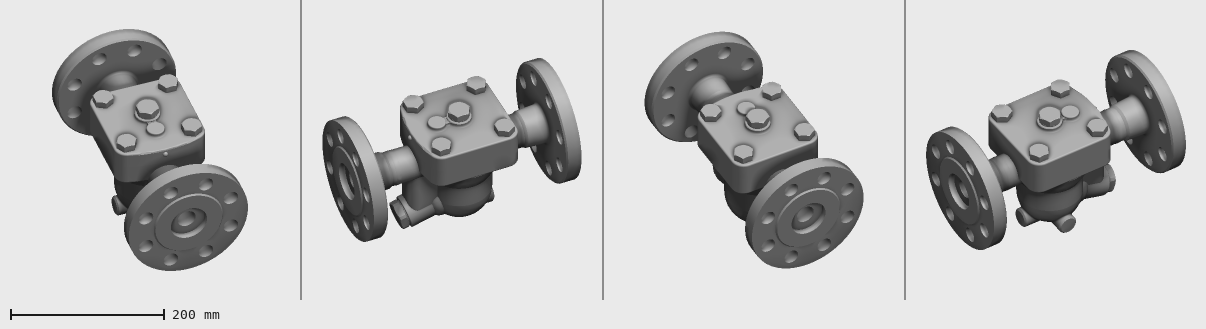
import cadquery as cq
import math


hex_chamfer_angle = 30.0
select_margin = 3.0

inlet_face_x = -140.0
outlet_face_x = 160.0
flange_dia = 165.0
raised_face_dia = 92.0
raised_face_base_dia = 95.7
raised_face_height = 2.0
flange_back = 23.0
flange_chamfer = 2.0
neck_fillet = 3.5
neck_root_dia = 53.0
neck_end_dia = 50.0
neck_end = 52.2
step_end = 56.0
pipe_dia = 46.0
weld_start = 61.2
weld_end = 69.0
weld_height = 0.5
bolt_circle_dia = 127.0
flange_hole_dia = 20.0
flange_hole_count = 8
socket_dia = 50.0
socket_depth = 9.0
bore_dia = 25.0

bolt_offset = 45.0
corner_radius = 17.5
half_width = bolt_offset + corner_radius
cover_bulge_x = 69.0
body_bulge_x = 68.0
block_bottom_z = 1.0
split_z = 29.5
cover_top_z = 51.3
cover_top_fillet = 2.5
block_bottom_fillet = 2.7
pin_radius = 3.5
pin_z = 43.2

bolt_flats = 24.0
bolt_head_height = 10.0

plug_boss_dia = 33.0
plug_boss_top_z = 57.3
plug_boss_chamfer = 1.0
plug_flats = 27.0
plug_top_dia = 26.0
plug_head_bottom_z = 58.8
plug_head_top_z = 68.7
side_boss_x = 31.5
side_boss_dia = 24.0
side_boss_top_z = 57.5
side_boss_fillet = 1.5
web_width = 12.0
web_corner_fillet = 1.5
web_top_z = 55.2
boss_foot_fillet = 2.7

bowl_radius = 43.5
bowl_center_z = -63.0
rim_radius = 61.8
rim_curve = 6.0
rim_top_z = block_bottom_z + block_bottom_fillet
cone_top_radius = 59.7
cone_top_z = -1.0
cone_mid_radius = 50.5
cone_mid_z = -19.8
cone_bottom_z = -32.5
relief_dia = 22.0

branch_tilt = 15.0
branch_dia = 44.0
branch_length = 81.0
flare_start = 34.5
flare_end = 46.0
branch_edge_fillet = 1.2
cap_flats = 36.0
cap_corner_dia = 39.3
cap_start = 82.0
cap_top_dia = 34.8
cap_end = 93.0
rib_half_width = 19.5
rib_end_x = 77.0
rib_corner_radius = 12.5
rib_bottom_z = -75.0

drain_dia = 26.0
drain_end = 45.5
drain_edge_chamfer = 2.0
drain_root_fillet = 1.5
drain_z = -93.0


def hex_head(flats, height, top_dia, corner_angle=0.0, both_ends=False):
    """Hexagonal head standing on Z = 0, its corners turned down by a cone."""
    tip_radius = flats / math.sqrt(3)
    top_radius = top_dia / 2
    drop = (tip_radius - top_radius) * math.tan(math.radians(hex_chamfer_angle))
    head = cq.Workplane("XY").polygon(6, 2 * tip_radius).extrude(height)
    head = head.rotate((0, 0, 0), (0, 0, 1), corner_angle)
    low_radius = top_radius if both_ends else tip_radius
    envelope = (
        cq.Workplane("XZ")
        .moveTo(0, 0)
        .lineTo(low_radius, 0)
        .lineTo(tip_radius, drop)
        .lineTo(tip_radius, height - drop)
        .lineTo(top_radius, height)
        .lineTo(0, height)
        .close()
        .revolve(360, (0, 0), (0, 1))
    )
    return head.intersect(envelope)


def pipe_end(length):
    """Flange and neck along +X, sealing face at X = 0, pipe running on to the given length."""
    pipe_radius = pipe_dia / 2
    neck_radius = neck_root_dia / 2
    flange_radius = flange_dia / 2
    solid = (
        cq.Workplane("XY")
        .moveTo(0, 0)
        .lineTo(0, raised_face_dia / 2)
        .lineTo(raised_face_height, raised_face_base_dia / 2)
        .lineTo(raised_face_height, flange_radius)
        .lineTo(flange_back - flange_chamfer, flange_radius)
        .lineTo(flange_back, flange_radius - flange_chamfer)
        .lineTo(flange_back, neck_radius + neck_fillet)
        .radiusArc((flange_back + neck_fillet, neck_radius), -neck_fillet)
        .lineTo(neck_end, neck_end_dia / 2)
        .lineTo(step_end, pipe_radius)
        .lineTo(weld_start, pipe_radius)
        .threePointArc(
            ((weld_start + weld_end) / 2, pipe_radius + weld_height), (weld_end, pipe_radius)
        )
        .lineTo(length, pipe_radius)
        .lineTo(length, 0)
        .close()
        .revolve(360, (0, 0), (1, 0))
    )
    holes = (
        cq.Workplane("YZ")
        .polarArray(bolt_circle_dia / 2, 180 / flange_hole_count, 360, flange_hole_count)
        .circle(flange_hole_dia / 2)
        .extrude(flange_back)
    )
    socket = cq.Workplane("YZ").circle(socket_dia / 2).extrude(socket_depth)
    bore = cq.Workplane("YZ").circle(bore_dia / 2).extrude(neck_end)
    return solid.cut(holes).cut(socket).cut(bore)


def block_outline(bulge_x, z):
    """Rounded square outline whose +X side bows out, tangent to its two corner arcs."""
    reach = bulge_x - corner_radius
    bow_center_x = (2 * bolt_offset**2 - reach**2) / (2 * (bolt_offset - reach))
    angle = math.atan2(bolt_offset, bolt_offset - bow_center_x)
    corner_end_x = bolt_offset + corner_radius * math.cos(angle)
    corner_end_y = bolt_offset + corner_radius * math.sin(angle)
    return (
        cq.Workplane("XY", origin=(0, 0, z))
        .moveTo(-bolt_offset, -half_width)
        .lineTo(bolt_offset, -half_width)
        .radiusArc((corner_end_x, -corner_end_y), -corner_radius)
        .threePointArc((bulge_x, 0), (corner_end_x, corner_end_y))
        .radiusArc((bolt_offset, half_width), -corner_radius)
        .lineTo(-bolt_offset, half_width)
        .radiusArc((-half_width, bolt_offset), -corner_radius)
        .lineTo(-half_width, -bolt_offset)
        .radiusArc((-bolt_offset, -half_width), -corner_radius)
        .close()
    )


def body_block():
    """Block under the cover, its bowed side drafted inwards towards the bottom."""
    bottom = block_outline(body_bulge_x, block_bottom_z).wire().val()
    top = block_outline(cover_bulge_x, split_z).wire().val()
    solid = cq.Workplane("XY").add(cq.Solid.makeLoft([bottom, top], True))
    return solid.faces("<Z").edges().fillet(block_bottom_fillet)


def cover():
    """Cover plate with the plug boss, side boss, their web and the round-nosed pin."""
    plate = block_outline(cover_bulge_x, split_z).extrude(cover_top_z - split_z)
    plate = plate.faces(">Z").edges().fillet(cover_top_fillet)
    base = cq.Workplane("XY", origin=(0, 0, cover_top_z))
    plug_boss = (
        base.circle(plug_boss_dia / 2)
        .extrude(plug_boss_top_z - cover_top_z)
        .faces(">Z")
        .chamfer(plug_boss_chamfer)
    )
    side_boss = (
        base.center(side_boss_x, 0)
        .circle(side_boss_dia / 2)
        .extrude(side_boss_top_z - cover_top_z)
        .faces(">Z")
        .fillet(side_boss_fillet)
    )
    web = (
        base.center(side_boss_x / 2, 0)
        .rect(side_boss_x, web_width)
        .extrude(web_top_z - cover_top_z)
    )
    bosses = plug_boss.union(side_boss).union(web)
    web_corners = cq.selectors.BoxSelector(
        (plug_boss_dia / 2 - select_margin, -web_width, cover_top_z),
        (side_boss_x - side_boss_dia / 2 + select_margin, web_width, web_top_z),
    )
    bosses = bosses.edges("|Z").edges(web_corners).fillet(web_corner_fillet)
    plate = plate.union(bosses)
    foot_half_length = side_boss_x + side_boss_dia
    foot_margin = (web_top_z - cover_top_z) / 2
    foot = cq.selectors.BoxSelector(
        (-foot_half_length, -plug_boss_dia, cover_top_z - foot_margin),
        (foot_half_length, plug_boss_dia, cover_top_z + foot_margin),
        boundingbox=True,
    )
    plate = plate.edges(foot).fillet(boss_foot_fillet)
    pin = cq.Workplane("XY").sphere(pin_radius).translate((cover_bulge_x, 0, pin_z))
    return plate.union(pin)


def cover_bolts():
    """Four hexagon heads, alternately turned by a quarter turn."""
    heads = cq.Workplane("XY")
    for side_x in (-1, 1):
        for side_y in (-1, 1):
            angle = 0 if side_x == side_y else 90
            head = hex_head(bolt_flats, bolt_head_height, bolt_flats, angle)
            heads = heads.add(head.translate((side_x * bolt_offset, side_y * bolt_offset, cover_top_z)))
    return heads.combine()


def plug():
    """Hexagon plug on a short round neck above the plug boss."""
    neck = (
        cq.Workplane("XY", origin=(0, 0, plug_boss_top_z))
        .circle(plug_flats / 2)
        .extrude(plug_head_bottom_z - plug_boss_top_z)
    )
    head = hex_head(plug_flats, plug_head_top_z - plug_head_bottom_z, plug_top_dia, both_ends=True)
    return neck.union(head.translate((0, 0, plug_head_bottom_z)))


def bowl():
    """Cone, cylinder and hemisphere hanging below the block, relieved under the bolts."""
    shape = (
        cq.Workplane("XZ")
        .moveTo(0, rim_top_z)
        .lineTo(rim_radius, rim_top_z)
        .lineTo(rim_radius, block_bottom_z)
        .radiusArc((cone_top_radius, cone_top_z), -rim_curve)
        .lineTo(cone_mid_radius, cone_mid_z)
        .lineTo(bowl_radius, cone_bottom_z)
        .lineTo(bowl_radius, bowl_center_z)
        .radiusArc((0, bowl_center_z - bowl_radius), bowl_radius)
        .close()
        .revolve(360, (0, 0), (0, 1))
    )
    reliefs = (
        cq.Workplane("XY", origin=(0, 0, cone_top_z))
        .rect(2 * bolt_offset, 2 * bolt_offset, forConstruction=True)
        .vertices()
        .circle(relief_dia / 2)
        .extrude(cone_bottom_z - cone_top_z)
    )
    return shape.cut(reliefs)


def strainer_branch():
    """Branch tilted below +X from the bowl centre, flared at its root, with a hexagon cap."""
    radius = branch_dia / 2
    flare_radius = math.sqrt(bowl_radius**2 - flare_start**2)
    flare_rise = flare_radius - radius
    flare_curve = ((flare_end - flare_start) ** 2 + flare_rise**2) / (2 * flare_rise)
    tube = (
        cq.Workplane("XZ")
        .moveTo(0, 0)
        .lineTo(flare_radius, flare_start)
        .radiusArc((radius, flare_end), -flare_curve)
        .lineTo(radius, branch_length)
        .lineTo(0, branch_length)
        .close()
        .revolve(360, (0, 0), (0, 1))
        .faces(">Z")
        .fillet(branch_edge_fillet)
    )
    neck = (
        cq.Workplane("XY", origin=(0, 0, branch_length))
        .circle(cap_flats / 2)
        .extrude(cap_start - branch_length)
    )
    cap = hex_head(cap_flats, cap_end - cap_start, cap_top_dia, both_ends=True)
    corner_limit = cq.Workplane("XY").circle(cap_corner_dia / 2).extrude(cap_end - cap_start)
    cap = cap.intersect(corner_limit).translate((0, 0, cap_start))
    branch = tube.union(neck).union(cap)
    branch = branch.rotate((0, 0, 0), (0, 1, 0), 90 + branch_tilt)
    return branch.translate((0, 0, bowl_center_z))


def rib():
    """Upright rib that joins the pipe to the strainer branch, rounded at its outer end."""
    slab = cq.Workplane("XY").box(
        rib_end_x, 2 * rib_half_width, -rib_bottom_z, centered=(False, True, False)
    )
    return slab.translate((0, 0, rib_bottom_z)).edges("|Z and >X").fillet(rib_corner_radius)


def drain_boss():
    """Horizontal drain boss pointing to -Y."""
    return (
        cq.Workplane("XZ", origin=(0, 0, drain_z))
        .circle(drain_dia / 2)
        .extrude(drain_end)
        .faces("<Y")
        .chamfer(drain_edge_chamfer)
    )


inlet = pipe_end(-inlet_face_x).translate((inlet_face_x, 0, 0))
outlet = pipe_end(outlet_face_x).mirror("YZ").translate((outlet_face_x, 0, 0))
front_drain = drain_boss()
left_drain = front_drain.rotate((0, 0, 0), (0, 0, 1), -90)
drain_roots = cq.selectors.BoxSelector(
    (-drain_end + select_margin, -drain_end + select_margin, bowl_center_z - bowl_radius),
    (drain_dia, drain_dia, bowl_center_z),
    boundingbox=True,
)
drained_bowl = bowl().union(front_drain).union(left_drain)
drained_bowl = drained_bowl.edges(drain_roots).fillet(drain_root_fillet)

result = body_block()
for part in (
    cover(),
    inlet,
    outlet,
    drained_bowl,
    rib(),
    strainer_branch(),
    cover_bolts(),
    plug(),
):
    result = result.union(part, clean=False)